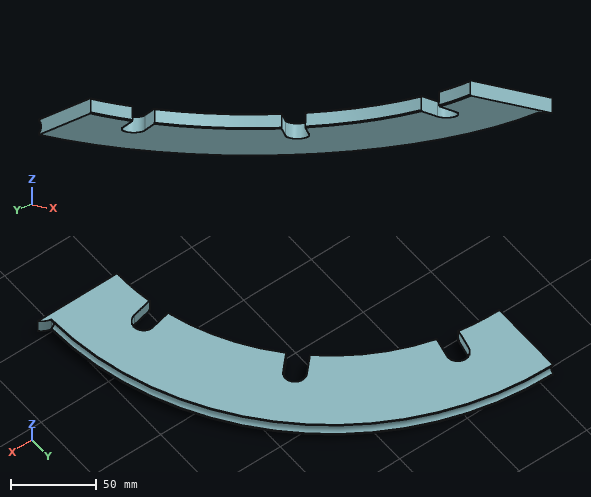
import cadquery as cq
import math

length_x = 219.8
thickness = 9.5
outer_radius = 210.4
inner_radius = 158.0
end_overlap = 2.5
inner_chamfer = 0.7

lip_tip_x = length_x - end_overlap
lip_height = 4.0
lip_bulge = 0.7

groove_depth = 2.2
groove_width = 7.7

slot_width = 14.0
slot_center_radius = 172.3
slot_count = 3
first_slot_angle = 12.7
slot_pitch_angle = 32.6


def other_coordinate(radius, coordinate):
    """Second coordinate of a point on a circle around the Z axis."""
    return math.sqrt(radius**2 - coordinate**2)


def arc_middle(radius):
    """Point halfway along a quarter circle."""
    return (radius * math.sqrt(0.5), radius * math.sqrt(0.5))


def make_plate():
    lip_root_x = other_coordinate(outer_radius, lip_height)
    lip_run = lip_tip_x - lip_root_x
    lip_chord = math.hypot(lip_run, lip_height)
    lip_middle = (
        (lip_root_x + lip_tip_x) / 2 + lip_bulge * lip_height / lip_chord,
        lip_height / 2 + lip_bulge * lip_run / lip_chord,
    )
    outer_end = (-end_overlap, other_coordinate(outer_radius, end_overlap))
    inner_end = (-end_overlap, other_coordinate(inner_radius, end_overlap))
    return (
        cq.Workplane("XY")
        .moveTo(inner_radius, 0)
        .lineTo(lip_tip_x, 0)
        .threePointArc(lip_middle, (lip_root_x, lip_height))
        .threePointArc(arc_middle(outer_radius), outer_end)
        .lineTo(*inner_end)
        .threePointArc(arc_middle(inner_radius), (inner_radius, 0))
        .close()
        .extrude(thickness)
    )


def make_inner_bevel():
    """Solid of revolution that fills the bore and flares at both faces."""
    bevel_radius = inner_radius + inner_chamfer
    return (
        cq.Workplane("XZ")
        .lineTo(bevel_radius, 0)
        .lineTo(inner_radius, inner_chamfer)
        .lineTo(inner_radius, thickness - inner_chamfer)
        .lineTo(bevel_radius, thickness)
        .lineTo(0, thickness)
        .close()
        .revolve(360, (0, 0), (0, 1))
    )


def make_rim_groove():
    """Ring with an arc-shaped inner side, kept only on the +Y side of the lip."""
    middle_z = thickness / 2
    bottom_z = middle_z - groove_width / 2
    top_z = middle_z + groove_width / 2
    ring = (
        cq.Workplane("XZ")
        .moveTo(outer_radius + groove_depth, bottom_z)
        .lineTo(outer_radius, bottom_z)
        .threePointArc((outer_radius - groove_depth, middle_z), (outer_radius, top_z))
        .lineTo(outer_radius + groove_depth, top_z)
        .close()
        .revolve(360, (0, 0), (0, 1))
    )
    beyond_lip = (
        cq.Workplane("XY")
        .box(2 * length_x, length_x, thickness, centered=(True, False, False))
        .translate((0, lip_height, 0))
    )
    return ring.intersect(beyond_lip)


def make_slot(angle):
    """Radial slot with a round end, open toward the Z axis."""
    straight = cq.Workplane("XY").box(
        slot_center_radius, slot_width, thickness, centered=(False, True, False)
    )
    round_end = cq.Workplane("XY").center(slot_center_radius, 0).circle(slot_width / 2).extrude(thickness)
    return straight.union(round_end).rotate((0, 0, 0), (0, 0, 1), angle)


result = make_plate().cut(make_inner_bevel()).cut(make_rim_groove())
for slot_index in range(slot_count):
    result = result.cut(make_slot(first_slot_angle + slot_index * slot_pitch_angle))